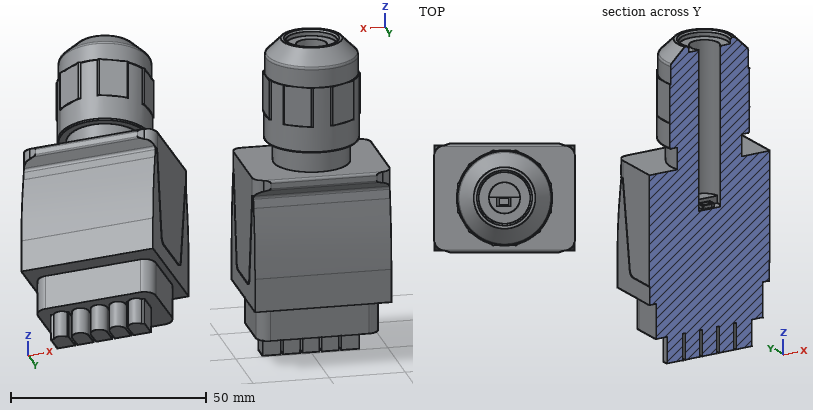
import cadquery as cq
import math


HOOD_HEIGHT = 35.5
HOOD_HALF_X = 17.95
HOOD_FOOT_HALF_Y = 13.5
FOOT_HEIGHT = 9.0
CURVE_TOP = 27.7
CURVE_RADIUS = 118.0
WALL_TOP = 30.6
UNDERCUT_FILLET = 1.1

PANEL_HALF_X = 18.1
PANEL_FOOT = 5.1
PANEL_FOOT_HALF_Y = 7.0
PANEL_FOOT_FILLET = 1.8
COLLAR_HALF_Y = 13.45
COLLAR_CORNER = 2.8
LIP_HALF_Y = 14.0
LIP_EDGE_FILLET = 0.7
LIP_ROOT_HALF_X = 15.6
LIP_FACE_HALF_X = 13.9

INSERT_X = 32.1
INSERT_Y = 18.2
INSERT_CORNER = 3.1
INSERT_HEIGHT = 9.6
CONTACT_COUNT = 5
CONTACT_PITCH = 5.08
CONTACT_RADIUS = 2.23
CONTACT_BACK_Y = -0.55
CONTACT_FRONT_Y = -6.55
CONTACT_LENGTH = 7.25
END_BLOCK_HALF_X = 12.75
END_BLOCK_FRONT_Y = -5.55

NECK_RADIUS = 10.0
NUT_BOTTOM = 41.4
NUT_RADIUS = 12.25
NUT_CHAMFER = 0.35
NUT_TOP = 59.05
CAP_RADIUS = 12.0
GLAND_TOP = 68.45
CAP_RIM_RADIUS = 7.9
CAP_EDGE_FILLET = 1.0
MOUTH_RADIUS = 6.6
MOUTH_CHAMFER = 0.5
MOUTH_DEPTH = 1.65
BORE_RADIUS = 4.0

PAD_COUNT = 6
PAD_BOTTOM = 48.5
PAD_APOTHEM = 12.0
PAD_HALF_WIDTH = 3.67
PAD_ROOT_HALF_WIDTH = 4.03
MARK_APOTHEM = 12.14
MARK_ANGLE = 210.0

BORE_FLOOR = 25.0
WIRE_SPACE_DEPTH = 2.0
WIRE_SPACE_EDGE_Y = 0.2
TERMINAL_X = 3.6
TERMINAL_Y = 2.3
TERMINAL_HEIGHT = 1.0
TERMINAL_HOLE_X = 2.4
TERMINAL_HOLE_Y = 1.7
TERMINAL_CENTER_X = -0.15
TERMINAL_CENTER_Y = -0.95


def hood_half_y(z):
    """Half depth of the hood on the curved part of its front and back walls."""
    rise = z - FOOT_HEIGHT
    sagitta = CURVE_RADIUS - math.sqrt(CURVE_RADIUS ** 2 - rise ** 2)
    return HOOD_FOOT_HALF_Y - sagitta


CURVE_TOP_HALF_Y = hood_half_y(CURVE_TOP)
WALL_LEAN = math.asin((CURVE_TOP - FOOT_HEIGHT) / CURVE_RADIUS)
WALL_TOP_HALF_Y = CURVE_TOP_HALF_Y - (WALL_TOP - CURVE_TOP) * math.tan(WALL_LEAN)
LIP_BOTTOM = WALL_TOP + LIP_HALF_Y - WALL_TOP_HALF_Y


def box_between(x_min, x_max, y_min, y_max, z_min, z_max):
    size = (x_max - x_min, y_max - y_min, z_max - z_min)
    return cq.Workplane("XY").box(*size, centered=False).translate((x_min, y_min, z_min))


def make_hood_profile():
    """Full end profile of the hood, collar included, extruded to the panel width."""
    mid_curve = (FOOT_HEIGHT + CURVE_TOP) / 2
    profile = (
        cq.Workplane("YZ", origin=(-PANEL_HALF_X, 0, 0))
        .moveTo(-HOOD_FOOT_HALF_Y, 0)
        .lineTo(HOOD_FOOT_HALF_Y, 0)
        .lineTo(HOOD_FOOT_HALF_Y, FOOT_HEIGHT)
        .threePointArc((hood_half_y(mid_curve), mid_curve), (CURVE_TOP_HALF_Y, CURVE_TOP))
        .lineTo(WALL_TOP_HALF_Y, WALL_TOP)
        .lineTo(LIP_HALF_Y, LIP_BOTTOM)
        .lineTo(LIP_HALF_Y, HOOD_HEIGHT)
        .lineTo(-LIP_HALF_Y, HOOD_HEIGHT)
        .lineTo(-LIP_HALF_Y, LIP_BOTTOM)
        .lineTo(-WALL_TOP_HALF_Y, WALL_TOP)
        .lineTo(-CURVE_TOP_HALF_Y, CURVE_TOP)
        .threePointArc((-hood_half_y(mid_curve), mid_curve), (-HOOD_FOOT_HALF_Y, FOOT_HEIGHT))
        .close()
        .extrude(2 * PANEL_HALF_X)
    )
    margin = 0.1
    x_limit = PANEL_HALF_X + margin
    lip_edges = cq.selectors.BoxSelector(
        (-x_limit, -LIP_HALF_Y - margin, LIP_BOTTOM - margin),
        (x_limit, LIP_HALF_Y + margin, HOOD_HEIGHT + margin),
    )
    undercut_edges = cq.selectors.BoxSelector(
        (-x_limit, -LIP_HALF_Y, WALL_TOP - margin),
        (x_limit, LIP_HALF_Y, WALL_TOP + margin),
    )
    profile = profile.edges("|X").edges(lip_edges).fillet(LIP_EDGE_FILLET)
    return profile.edges("|X").edges(undercut_edges).fillet(UNDERCUT_FILLET)


def make_hood():
    profile = make_hood_profile()

    plan = (
        cq.Workplane("XY")
        .rect(2 * PANEL_HALF_X, 2 * COLLAR_HALF_Y)
        .extrude(HOOD_HEIGHT)
        .edges("|Z")
        .fillet(COLLAR_CORNER)
    )
    lip_plan = (
        cq.Workplane("XY")
        .polyline([
            (LIP_ROOT_HALF_X, -COLLAR_HALF_Y),
            (LIP_ROOT_HALF_X, COLLAR_HALF_Y),
            (LIP_FACE_HALF_X, LIP_HALF_Y),
            (-LIP_FACE_HALF_X, LIP_HALF_Y),
            (-LIP_ROOT_HALF_X, COLLAR_HALF_Y),
            (-LIP_ROOT_HALF_X, -COLLAR_HALF_Y),
            (-LIP_FACE_HALF_X, -LIP_HALF_Y),
            (LIP_FACE_HALF_X, -LIP_HALF_Y),
        ])
        .close()
        .extrude(HOOD_HEIGHT)
    )
    panel_top_half_y = COLLAR_HALF_Y - COLLAR_CORNER
    panel = (
        cq.Workplane("YZ", origin=(-PANEL_HALF_X, 0, 0))
        .polyline([
            (-PANEL_FOOT_HALF_Y, PANEL_FOOT),
            (PANEL_FOOT_HALF_Y, PANEL_FOOT),
            (panel_top_half_y, WALL_TOP),
            (-panel_top_half_y, WALL_TOP),
        ])
        .close()
        .extrude(2 * PANEL_HALF_X)
        .edges("|X and <Z")
        .fillet(PANEL_FOOT_FILLET)
    )
    walls = box_between(-HOOD_HALF_X, HOOD_HALF_X, -HOOD_FOOT_HALF_Y, HOOD_FOOT_HALF_Y, 0, WALL_TOP)
    collar_zone = box_between(
        -PANEL_HALF_X, PANEL_HALF_X, -LIP_HALF_Y, LIP_HALF_Y, WALL_TOP, HOOD_HEIGHT
    )
    collar = profile.intersect(collar_zone).intersect(plan.union(lip_plan))
    return profile.intersect(walls).union(panel).union(collar)


def make_insert():
    return (
        cq.Workplane("XY", origin=(0, 0, -INSERT_HEIGHT))
        .rect(INSERT_X, INSERT_Y)
        .extrude(INSERT_HEIGHT)
        .edges("|Z")
        .fillet(INSERT_CORNER)
    )


def make_contacts():
    """Row of contacts with round fronts; the two end ones are widened by square blocks."""
    top = -INSERT_HEIGHT
    bottom = top - CONTACT_LENGTH
    arc_center_y = CONTACT_FRONT_Y + CONTACT_RADIUS
    contacts = cq.Workplane("XY")
    for index in range(CONTACT_COUNT):
        x = (index - (CONTACT_COUNT - 1) / 2) * CONTACT_PITCH
        contact = (
            cq.Workplane("XY", origin=(x, 0, bottom))
            .moveTo(CONTACT_RADIUS, CONTACT_BACK_Y)
            .lineTo(CONTACT_RADIUS, arc_center_y)
            .threePointArc((0, CONTACT_FRONT_Y), (-CONTACT_RADIUS, arc_center_y))
            .lineTo(-CONTACT_RADIUS, CONTACT_BACK_Y)
            .close()
            .extrude(CONTACT_LENGTH)
        )
        contacts = contacts.add(contact)
    row = contacts.combine()

    end_x = (CONTACT_COUNT - 1) / 2 * CONTACT_PITCH
    block = box_between(
        end_x - CONTACT_RADIUS, END_BLOCK_HALF_X, END_BLOCK_FRONT_Y, CONTACT_BACK_Y, bottom, top
    )
    return row.union(block).union(block.mirror("YZ"))


def make_nut():
    nut = (
        cq.Workplane("XY", origin=(0, 0, NUT_BOTTOM))
        .circle(NUT_RADIUS)
        .extrude(NUT_TOP - NUT_BOTTOM)
        .faces("<Z")
        .edges()
        .chamfer(NUT_CHAMFER)
    )
    mark_cut = box_between(
        MARK_APOTHEM, 2 * NUT_RADIUS, -NUT_RADIUS, NUT_RADIUS, NUT_BOTTOM, NUT_TOP
    )
    nut = nut.cut(mark_cut.rotate((0, 0, 0), (0, 0, 1), MARK_ANGLE))

    pad_height = NUT_TOP - PAD_BOTTOM
    pad_root = math.sqrt(NUT_RADIUS ** 2 - PAD_ROOT_HALF_WIDTH ** 2)
    flat_cut = box_between(
        PAD_APOTHEM, 2 * NUT_RADIUS, -PAD_HALF_WIDTH, PAD_HALF_WIDTH, PAD_BOTTOM, NUT_TOP
    )
    pad = (
        cq.Workplane("XY", origin=(0, 0, PAD_BOTTOM))
        .polyline([
            (NECK_RADIUS, -PAD_ROOT_HALF_WIDTH),
            (pad_root, -PAD_ROOT_HALF_WIDTH),
            (PAD_APOTHEM, -PAD_HALF_WIDTH),
            (PAD_APOTHEM, PAD_HALF_WIDTH),
            (pad_root, PAD_ROOT_HALF_WIDTH),
            (NECK_RADIUS, PAD_ROOT_HALF_WIDTH),
        ])
        .close()
        .extrude(pad_height)
    )
    for index in range(PAD_COUNT):
        angle = index * 360 / PAD_COUNT
        nut = nut.cut(flat_cut.rotate((0, 0, 0), (0, 0, 1), angle))
        nut = nut.union(pad.rotate((0, 0, 0), (0, 0, 1), angle))
    return nut


def make_neck():
    return (
        cq.Workplane("XY", origin=(0, 0, HOOD_HEIGHT))
        .circle(NECK_RADIUS)
        .extrude(NUT_BOTTOM - HOOD_HEIGHT)
    )


def make_cap():
    """Cap with a 45 degree cone and a shallow mouth around the bore."""
    cone = CAP_RADIUS - CAP_RIM_RADIUS
    cap = (
        cq.Workplane("XY", origin=(0, 0, NUT_TOP))
        .circle(CAP_RADIUS)
        .extrude(GLAND_TOP - NUT_TOP)
        .faces(">Z")
        .edges()
        .chamfer(cone)
    )
    shoulder_edge = cap.edges("%CIRCLE").edges(cq.selectors.BoxSelector(
        (-CAP_RADIUS, -CAP_RADIUS, NUT_TOP + cone / 2),
        (CAP_RADIUS, CAP_RADIUS, GLAND_TOP - cone / 2),
    ))
    cap = shoulder_edge.fillet(CAP_EDGE_FILLET)
    cap = cap.faces(">Z").workplane().circle(MOUTH_RADIUS).cutBlind(-MOUTH_DEPTH)
    mouth_edge = cq.selectors.RadiusNthSelector(0)
    return cap.faces(">Z").edges(mouth_edge).chamfer(MOUTH_CHAMFER)


def cut_bore(body):
    """Cable bore; its -Y side runs deeper, around a terminal with a square hole."""
    wire_floor = BORE_FLOOR - WIRE_SPACE_DEPTH
    shelf = box_between(
        -2 * BORE_RADIUS, 2 * BORE_RADIUS, WIRE_SPACE_EDGE_Y, 2 * BORE_RADIUS, wire_floor, BORE_FLOOR
    )
    terminal = (
        cq.Workplane("XY", origin=(TERMINAL_CENTER_X, TERMINAL_CENTER_Y, wire_floor))
        .rect(TERMINAL_X, TERMINAL_Y)
        .rect(TERMINAL_HOLE_X, TERMINAL_HOLE_Y)
        .extrude(TERMINAL_HEIGHT)
    )
    bore = (
        cq.Workplane("XY", origin=(0, 0, wire_floor))
        .circle(BORE_RADIUS)
        .extrude(GLAND_TOP - wire_floor)
        .cut(shelf)
        .cut(terminal)
    )
    return body.cut(bore)


body = make_hood().union(make_insert()).union(make_contacts())
body = body.union(make_neck()).union(make_nut()).union(make_cap())
result = cut_bore(body)